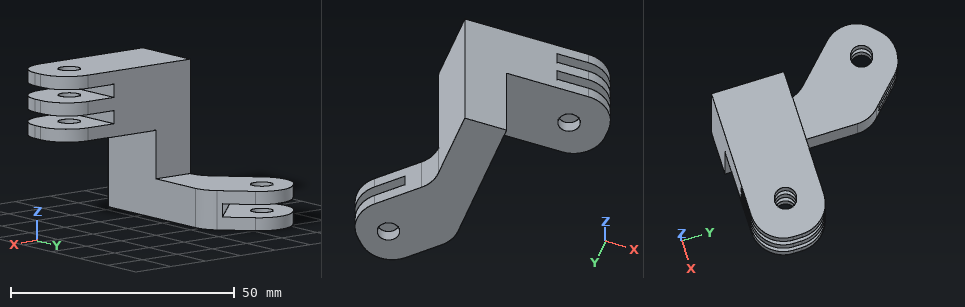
import cadquery as cq
import math

arm_height = 15.0
finger = arm_height / 5
width = 17.0
corner_radius = 7.5
hole_diameter = 5.0
slot_depth = arm_height

column_length = 10.0
column_height = 35.0
overall_length = 49.45
lower_reach = 12.45
arm_length = overall_length - lower_reach
arm_hole_to_end = 9.0

lower_height = 3 * finger
turn_angle = 45
turn = math.radians(turn_angle)
pivot_x = column_length / 2
pivot_y = 10.0
corner_center_to_pivot_x = pivot_x + lower_reach - corner_radius
corner_center_offset = width / 2 - corner_radius
pivot_to_end = (
    corner_radius
    + (corner_center_to_pivot_x - corner_center_offset * math.sin(turn)) / math.cos(turn)
)
lower_hole_to_end = 7.0


def hinge_cutters(length, hole_to_end, bottom, gaps):
    """Slots and pin hole of a hinge that runs along +X from the origin."""
    height = (2 * gaps + 1) * finger
    cutters = (
        cq.Workplane("XY", origin=(length - hole_to_end, 0, bottom))
        .circle(hole_diameter / 2)
        .extrude(height)
    )
    for gap in range(gaps):
        slot = cq.Workplane("XY").box(slot_depth, width, finger, centered=(False, True, False))
        slot_bottom = bottom + (2 * gap + 1) * finger
        cutters = cutters.union(slot.translate((length - slot_depth, 0, slot_bottom)))
    return cutters


def make_upper_body():
    """Column with the three-finger arm at its top."""
    arm_bottom = column_height - arm_height
    column = cq.Workplane("XY").box(column_length, width, column_height, centered=(False, True, False))
    arm = (
        cq.Workplane("XY", origin=(0, 0, arm_bottom))
        .box(arm_length, width, arm_height, centered=(False, True, False))
        .edges("|Z and >X")
        .fillet(corner_radius)
    )
    cutters = hinge_cutters(arm_length, arm_hole_to_end, arm_bottom, gaps=2)
    return column.union(arm).cut(cutters).translate((0, -width / 2, 0))


def make_lower_arm():
    """Bent two-finger arm with rounded bends and a rounded end."""
    angle = math.pi - turn
    along = cq.Vector(math.cos(angle), math.sin(angle))
    across = cq.Vector(math.sin(angle), -math.cos(angle))
    pivot = cq.Vector(pivot_x, pivot_y)
    end_middle = pivot + along * pivot_to_end
    end_right = end_middle + across * (width / 2)
    end_left = end_middle - across * (width / 2)

    side_rise = width / 2 / math.sin(turn)
    offset = pivot_x / math.tan(turn)
    outer_bend_y = pivot_y - offset + side_rise
    inner_bend_y = pivot_y + offset - side_rise

    bend_tangent = inner_bend_y
    bend_radius = bend_tangent / math.tan(turn / 2)
    inner_arc_middle = (
        -bend_radius * (1 - math.cos(turn / 2)),
        bend_radius * math.sin(turn / 2),
    )
    inner_arc_end = cq.Vector(0, inner_bend_y) + along * bend_tangent

    arm = (
        cq.Workplane("XY")
        .moveTo(0, 0)
        .lineTo(column_length, 0)
        .lineTo(column_length, outer_bend_y)
        .lineTo(end_right.x, end_right.y)
        .lineTo(end_left.x, end_left.y)
        .lineTo(inner_arc_end.x, inner_arc_end.y)
        .threePointArc(inner_arc_middle, (0, 0))
        .close()
        .extrude(lower_height)
    )
    outer_bend = cq.selectors.NearestToPointSelector((column_length, outer_bend_y, lower_height / 2))
    arm = arm.edges(outer_bend).fillet(bend_radius)
    for corner in (end_right, end_left):
        selector = cq.selectors.NearestToPointSelector((corner.x, corner.y, lower_height / 2))
        arm = arm.edges(selector).fillet(corner_radius)

    cutters = (
        hinge_cutters(pivot_to_end, lower_hole_to_end, 0, gaps=1)
        .rotate((0, 0, 0), (0, 0, 1), 180 - turn_angle)
        .translate((pivot_x, pivot_y, 0))
    )
    return arm.cut(cutters)


result = make_upper_body().union(make_lower_arm())